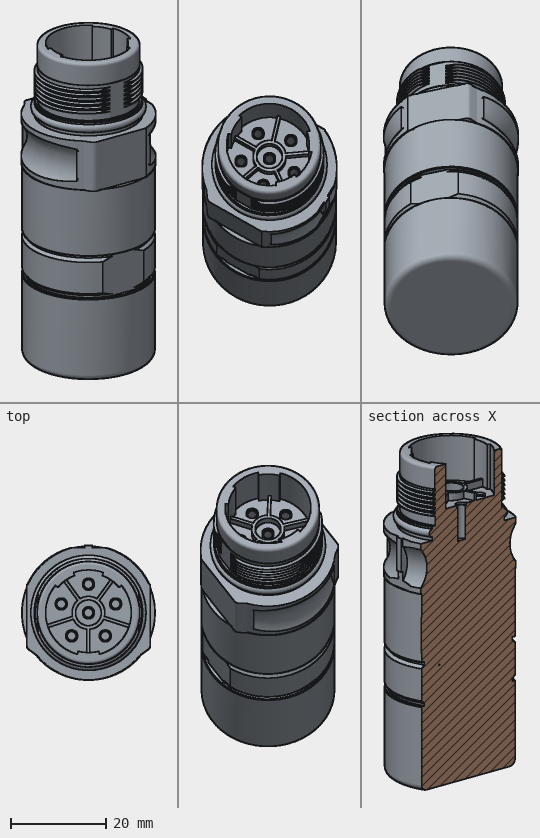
import cadquery as cq
import math

TOTAL_HEIGHT = 71.7
LOWER_SLEEVE_TOP = 19.0
MIDDLE_RING_BOTTOM = 19.5
MIDDLE_RING_TOP = 28.1
UPPER_SLEEVE_BOTTOM = 28.75
COLLAR_BOTTOM = 44.1
COLLAR_TOP = 55.4
FLANGE_TOP = 58.6
THREAD_ZONE_TOP = 66.7

SLEEVE_RADIUS = 14.0
GROOVE_RADIUS = 13.3
FLANGE_RADIUS = 11.4
NECK_RADIUS = 10.8
BOTTOM_ROUND = 1.4
RIM_ROUND = 0.7
EDGE_CHAMFER = 0.2
RING_CHAMFER = SLEEVE_RADIUS - GROOVE_RADIUS

SEAL_MINOR_RADIUS = 0.95
SEAL_OUTER_RADIUS = 12.1
SEAL_HEIGHT = 57.05

FLAT_X = 13.0

COLLAR_RADIUS = 14.15
CORNER_Y = -7.4
CORNER_END_X = 11.1
CORNER_ROUND = 1.2
BACK_CORNER_Y = 5.8
BACK_CORNER_END_X = 12.8
MARK_FLAT_Y = 13.7
MARK_HALF_WIDTH = 0.8
MARK_BOTTOM = 47.9

RECESS_HEIGHT = 49.75
RECESS_TUBE_RADIUS = 6.85
RECESS_FLOOR_Y = 12.55
FRONT_FLOOR_RADIUS = 14.6
FRONT_HALF_WIDTH = 10.1
BACK_FLOOR_RADIUS = 13.7
BACK_HALF_WIDTH = 12.0

THREAD_PITCH = 1.0
THREAD_CREST_RADIUS = 11.4
THREAD_CORE_RADIUS = 10.75
THREAD_START = 60.1
THREAD_TURNS = 6
THREAD_ROOT_WIDTH = 0.9
THREAD_CREST_WIDTH = 0.1
THREAD_OVERLAP = 0.3
THREAD_FLAT_X = 10.6

BORE_RADIUS = 9.0
BORE_FLOOR = 61.7
KEY_RADIUS = 8.35
KEY_SPAN = 30.0
KEY_ANGLES = (54.6, 125.4, 270.0)

DIVIDER_HEIGHT = 1.7
DIVIDER_WIDTH = 0.64
DIVIDER_RING_OUTER = 3.45
DIVIDER_RING_INNER = 2.7
CONTACT_COUNT = 5
CONTACT_CIRCLE_RADIUS = 6.0
CONTACT_STEP = 360.0 / CONTACT_COUNT
CONTACT_MOUTH_RADIUS = 1.25
CONTACT_MOUTH_DEPTH = 0.5
CONTACT_HOLE_RADIUS = 0.95
CONTACT_HOLE_DEPTH = 8.0


def cylinder(radius, bottom, top):
    return cq.Workplane("XY").workplane(offset=bottom).circle(radius).extrude(top - bottom)


def box(x_min, x_max, y_min, y_max, z_min, z_max):
    block = cq.Workplane("XY").box(x_max - x_min, y_max - y_min, z_max - z_min, centered=False)
    return block.translate((x_min, y_min, z_min))


def polar(radius, angle):
    return radius * math.cos(math.radians(angle)), radius * math.sin(math.radians(angle))


def beyond_flats(flat_x, bottom, top):
    """Material outside a pair of flats at +X and -X."""
    reach = 2 * SLEEVE_RADIUS
    right = box(flat_x, reach, -reach, reach, bottom, top)
    return right.union(right.mirror("YZ"))


def make_middle_ring():
    ring = cylinder(SLEEVE_RADIUS, MIDDLE_RING_BOTTOM, MIDDLE_RING_TOP)
    ring = ring.edges("%CIRCLE").chamfer(RING_CHAMFER)
    ring = ring.union(cylinder(GROOVE_RADIUS, LOWER_SLEEVE_TOP, UPPER_SLEEVE_BOTTOM))
    return ring.cut(beyond_flats(FLAT_X, LOWER_SLEEVE_TOP, UPPER_SLEEVE_BOTTOM))


def make_sleeves():
    lower = cylinder(SLEEVE_RADIUS, 0, LOWER_SLEEVE_TOP)
    lower = lower.faces("<Z").edges().fillet(BOTTOM_ROUND).faces(">Z").edges().chamfer(EDGE_CHAMFER)
    upper = cylinder(SLEEVE_RADIUS, UPPER_SLEEVE_BOTTOM, COLLAR_BOTTOM)
    upper = upper.faces("<Z").edges().chamfer(EDGE_CHAMFER)
    return lower.union(make_middle_ring()).union(upper)


def make_recess(floor_radius, half_width):
    """Concave groove on the -Y side, its floor an arc in plan and its section a circle."""
    axis_y = floor_radius - RECESS_FLOOR_Y
    tube = cq.Solid.makeTorus(
        floor_radius + RECESS_TUBE_RADIUS, RECESS_TUBE_RADIUS, cq.Vector(0, axis_y, RECESS_HEIGHT)
    )
    window = box(-half_width, half_width, -2 * COLLAR_RADIUS, 0, COLLAR_BOTTOM, COLLAR_TOP)
    return window.intersect(cq.Workplane("XY").add(tube))


def make_collar():
    back_end_y = math.sqrt(COLLAR_RADIUS**2 - BACK_CORNER_END_X**2)
    corner_end_y = -math.sqrt(COLLAR_RADIUS**2 - CORNER_END_X**2)
    collar = (
        cq.Workplane("XY")
        .workplane(offset=COLLAR_BOTTOM)
        .moveTo(FLAT_X, BACK_CORNER_Y)
        .lineTo(BACK_CORNER_END_X, back_end_y)
        .threePointArc((0, COLLAR_RADIUS), (-BACK_CORNER_END_X, back_end_y))
        .lineTo(-FLAT_X, BACK_CORNER_Y)
        .lineTo(-FLAT_X, CORNER_Y)
        .lineTo(-CORNER_END_X, corner_end_y)
        .threePointArc((0, -COLLAR_RADIUS), (CORNER_END_X, corner_end_y))
        .lineTo(FLAT_X, CORNER_Y)
        .close()
        .extrude(COLLAR_TOP - COLLAR_BOTTOM)
    )
    margin = 0.5
    corners = cq.selectors.BoxSelector(
        (-FLAT_X - margin, CORNER_Y - margin, COLLAR_BOTTOM),
        (FLAT_X + margin, CORNER_Y + margin, COLLAR_TOP),
    )
    collar = collar.edges("|Z").edges(corners).fillet(CORNER_ROUND)
    collar = collar.cut(make_recess(FRONT_FLOOR_RADIUS, FRONT_HALF_WIDTH))

    reach = 2 * COLLAR_RADIUS
    rib = box(-MARK_HALF_WIDTH, MARK_HALF_WIDTH, 0, reach, COLLAR_BOTTOM, COLLAR_TOP)
    mark = box(-MARK_HALF_WIDTH, MARK_HALF_WIDTH, 0, reach, MARK_BOTTOM, COLLAR_TOP)
    back_recess = make_recess(BACK_FLOOR_RADIUS, BACK_HALF_WIDTH).mirror("XZ")
    mark_flat = box(-reach, reach, MARK_FLAT_Y, reach, COLLAR_BOTTOM, COLLAR_TOP)
    return collar.cut(back_recess.cut(rib)).cut(mark_flat.cut(mark))


def make_thread():
    helix = cq.Wire.makeHelix(THREAD_PITCH, THREAD_PITCH * THREAD_TURNS, THREAD_CORE_RADIUS)
    inner_radius = THREAD_CORE_RADIUS - THREAD_OVERLAP
    tooth = (
        cq.Workplane("XZ")
        .moveTo(inner_radius, -THREAD_ROOT_WIDTH / 2)
        .lineTo(THREAD_CREST_RADIUS, -THREAD_CREST_WIDTH / 2)
        .lineTo(THREAD_CREST_RADIUS, THREAD_CREST_WIDTH / 2)
        .lineTo(inner_radius, THREAD_ROOT_WIDTH / 2)
        .close()
    )
    thread = tooth.sweep(cq.Workplane("XY").add(helix), isFrenet=True)
    start_angle = 180
    return thread.rotate((0, 0, 0), (0, 0, 1), start_angle).translate((0, 0, THREAD_START))


def make_neck():
    flange = cylinder(FLANGE_RADIUS, COLLAR_TOP, FLANGE_TOP).faces(">Z").edges().chamfer(EDGE_CHAMFER)
    seal = cq.Solid.makeTorus(
        SEAL_OUTER_RADIUS - SEAL_MINOR_RADIUS, SEAL_MINOR_RADIUS, cq.Vector(0, 0, SEAL_HEIGHT)
    )
    threaded = cylinder(THREAD_CORE_RADIUS, FLANGE_TOP, THREAD_ZONE_TOP).union(make_thread())
    threaded = threaded.cut(beyond_flats(THREAD_FLAT_X, FLANGE_TOP, THREAD_ZONE_TOP))
    rim = cylinder(NECK_RADIUS, THREAD_ZONE_TOP, TOTAL_HEIGHT).faces(">Z").edges().fillet(RIM_ROUND)
    return flange.union(cq.Workplane("XY").add(seal)).union(threaded).union(rim)


def make_key(center_angle):
    """Ring sector standing inward from the cavity wall."""
    start = center_angle - KEY_SPAN / 2
    end = center_angle + KEY_SPAN / 2
    return (
        cq.Workplane("XY")
        .workplane(offset=BORE_FLOOR)
        .moveTo(*polar(KEY_RADIUS, start))
        .threePointArc(polar(KEY_RADIUS, center_angle), polar(KEY_RADIUS, end))
        .lineTo(*polar(BORE_RADIUS, end))
        .threePointArc(polar(BORE_RADIUS, center_angle), polar(BORE_RADIUS, start))
        .close()
        .extrude(TOTAL_HEIGHT - BORE_FLOOR)
    )


def make_cavity():
    cavity = cylinder(BORE_RADIUS, BORE_FLOOR, TOTAL_HEIGHT)
    for angle in KEY_ANGLES:
        cavity = cavity.cut(make_key(angle))
    return cavity


def make_dividers():
    """Ring around the centre contact with one wall between each pair of outer contacts."""
    divider_top = BORE_FLOOR + DIVIDER_HEIGHT
    half_width = DIVIDER_WIDTH / 2
    dividers = cylinder(DIVIDER_RING_OUTER, BORE_FLOOR, divider_top)
    wall = box(0, BORE_RADIUS, -half_width, half_width, BORE_FLOOR, divider_top)
    first_wall_angle = -90
    for index in range(CONTACT_COUNT):
        angle = first_wall_angle + index * CONTACT_STEP
        dividers = dividers.union(wall.rotate((0, 0, 0), (0, 0, 1), angle))
    dividers = dividers.intersect(cylinder(BORE_RADIUS, BORE_FLOOR, divider_top))
    return dividers.cut(cylinder(DIVIDER_RING_INNER, BORE_FLOOR, divider_top))


def make_contact_holes():
    first_contact_angle = 90
    centers = [(0, 0)]
    for index in range(CONTACT_COUNT):
        centers.append(polar(CONTACT_CIRCLE_RADIUS, first_contact_angle + index * CONTACT_STEP))
    floor = cq.Workplane("XY").workplane(offset=BORE_FLOOR).pushPoints(centers)
    mouths = floor.circle(CONTACT_MOUTH_RADIUS).extrude(-CONTACT_MOUTH_DEPTH)
    holes = floor.circle(CONTACT_HOLE_RADIUS).extrude(-CONTACT_HOLE_DEPTH)
    return mouths.union(holes)


body = make_sleeves().union(make_collar()).union(make_neck())
body = body.cut(make_cavity()).union(make_dividers())
result = body.cut(make_contact_holes())